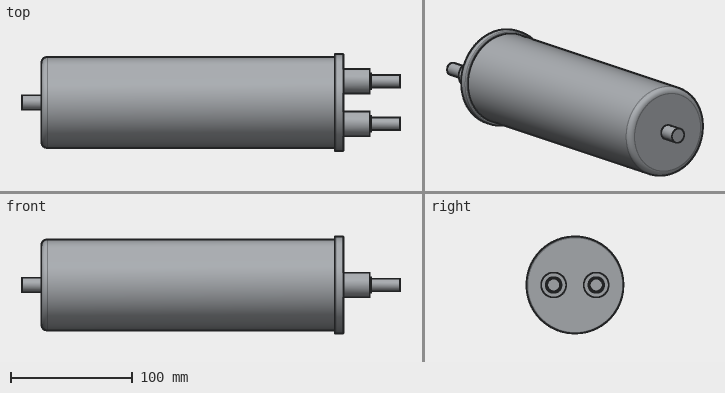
import cadquery as cq

body_diameter = 75.0
body_end_fillet = 5.0

rim_diameter = 80.0
rim_width = 7.5
rim_edge_fillet = 1.0
can_length = 248.5

stud_diameter = 12.0
stud_length = 16.0

terminal_spacing = 35.0
insulator_diameter = 20.5
insulator_length = 21.5
collar_diameter = 13.0
collar_length = 1.0
pin_diameter = 10.5
overall_length = 311.0
pin_length = overall_length - stud_length - can_length - insulator_length - collar_length


def rod(diameter, start_x, length, center_y=0.0):
    """Solid cylinder along +X, starting at start_x."""
    plane = cq.Workplane("YZ", origin=(start_x, center_y, 0))
    return plane.circle(diameter / 2).extrude(length)


def make_can():
    """Can with a rounded closed end and a raised rim at the terminal end."""
    body = rod(body_diameter, 0, can_length)
    body = body.faces("<X").edges().fillet(body_end_fillet)
    rim = rod(rim_diameter, can_length - rim_width, rim_width)
    rim = rim.faces("<X or >X").edges().fillet(rim_edge_fillet)
    return body.union(rim)


def make_stud():
    """Plain stud centred on the closed end."""
    return rod(stud_diameter, -stud_length, stud_length)


def make_terminal(center_y):
    """Insulator, thin collar and contact pin stacked along +X."""
    steps = [
        (insulator_diameter, insulator_length),
        (collar_diameter, collar_length),
        (pin_diameter, pin_length),
    ]
    terminal = cq.Workplane("YZ")
    start_x = can_length
    for diameter, length in steps:
        terminal = terminal.union(rod(diameter, start_x, length, center_y))
        start_x += length
    return terminal


result = make_can().union(make_stud())
for side in (-1, 1):
    result = result.union(make_terminal(side * terminal_spacing / 2))